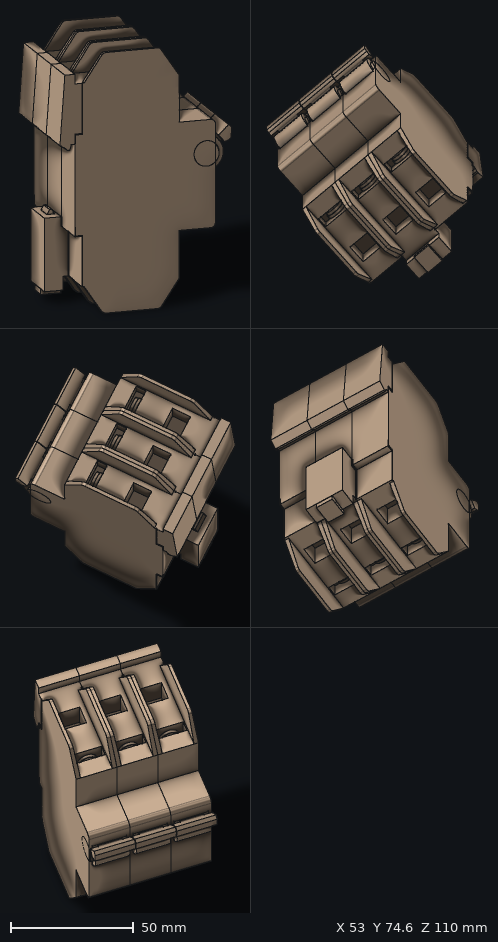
import cadquery as cq


TOTAL_WIDTH = 53.0
POLE_COUNT = 3
POLE_WIDTH = TOTAL_WIDTH / POLE_COUNT
CLIP_POLE = 1

SHOULDER_Y = 44.8
NOSE_Y = 60.3
HALF_HEIGHT = 42.9
NOSE_HALF_HEIGHT = 22.9
NOSE_ROUND = 2.2

NOTCH_Y = 3.0
NOTCH_HALF_HEIGHT = 21.7
RELIEF_DEPTH = 0.3
RELIEF_MARGIN_Y = 0.16
RELIEF_MARGIN_Z = 0.3
RELIEF_START_Z = 17.7

FIN_HALF_HEIGHT = 55.0
FIN_ROOT_REAR_Y = 3.8
FIN_RUN = 8.2
FIN_ROOT_THICKNESS = 2.0
FIN_TIP_THICKNESS = 1.5
FIN_ROUND = 2.2

WIRE_WIDTH = 9.2
WIRE_LENGTH = 8.1
WIRE_CENTER_Y = 16.0
WIRE_DEPTH = 11.0
SLOT_WIDTH = 12.8
SLOT_LENGTH = 4.4
SLOT_CENTER_Y = 35.2
SLOT_DEPTH = 6.6
SCREW_NECK_RADIUS = 3.8
SCREW_HEAD_RADIUS = 4.2
SCREW_SECTION_LENGTH = 1.3
SCREW_REAR_GAP = 0.4

HOOK_TOP_Z = 47.0
HOOK_TOP_Y = -4.4
HOOK_LIP_Y = -6.5
HOOK_LIP_Z = 17.4
HOOK_TIP_Z = 15.1
HOOK_TIP_REAR_Y = -3.1
HOOK_TIP_FRONT_Y = -2.3
HOOK_THROAT_Y = -1.5

CLIP_REAR_Y = -7.3
CLIP_TOP_Z = -17.7
CLIP_BOTTOM_Z = -48.7
CLIP_LOWER_FRONT_Y = 0.8
CATCH_WIDTH = 7.7
CATCH_TIP_Z = -15.7
CATCH_BASE_Y = (-1.2, -4.5)
CATCH_TIP_Y = (-2.3, -3.3)
TAB_FRONT_Y = 1.5
TAB_REAR_Y = -7.2
TAB_BOTTOM_Z = -51.3
TAB_GAP = 0.3
TAB_GAP_REAR_Y = -4.0

GRIP_SIDE_GAP = 0.1
HUB_SIDE_GAP = 0.3
PIVOT_Y = 56.5
PIVOT_Z = 8.6
DISC_RADIUS = 7.6
DISC_WIDTH = 14.8
HUB_RADIUS = 5.4
NECK_WIDTH = 10.5
GRIP_TOP = (66.0, 20.1)
GRIP_TIP = (67.3, 18.8)
GRIP_HEEL = (67.0, 14.4)
GRIP_FOOT = (65.8, 13.4)
GRIP_BASE_FRONT = (64.2, 12.9)
GRIP_BASE_REAR = (61.6, 16.0)
NECK_REAR_Z = 14.7


def prism(points, width):
    """Outline of (y, z) points, extruded along X and centred on x = 0."""
    return cq.Workplane("YZ").polyline(points).close().extrude(width / 2, both=True)


def block(x_range, y_range, z_range):
    """Box between the given limits."""
    size = [high - low for low, high in (x_range, y_range, z_range)]
    corner = (x_range[0], y_range[0], z_range[0])
    return cq.Workplane("XY").box(*size, centered=False).translate(corner)


def pole_x(index):
    """X position of the centre of a pole."""
    return (index - (POLE_COUNT - 1) / 2) * POLE_WIDTH


def with_lower_twin(shape):
    """The shape together with its mirror image below z = 0."""
    return shape.union(shape.mirror("XY"))


def housing_core():
    body = block(
        (-POLE_WIDTH / 2, POLE_WIDTH / 2), (0, SHOULDER_Y), (-HALF_HEIGHT, HALF_HEIGHT)
    )
    nose = block(
        (-POLE_WIDTH / 2, POLE_WIDTH / 2), (0, NOSE_Y), (-NOSE_HALF_HEIGHT, NOSE_HALF_HEIGHT)
    )
    nose = nose.faces(">Y").edges("|X").fillet(NOSE_ROUND)
    return body.union(nose)


def rear_notch():
    """Upper notch, cut through the full pole width."""
    return block(
        (-POLE_WIDTH / 2, POLE_WIDTH / 2), (0, NOTCH_Y), (NOTCH_HALF_HEIGHT, HALF_HEIGHT)
    )


def notch_relief():
    """Shallow steps in both side faces along the edges of the upper notch."""
    inner_y = NOTCH_Y + RELIEF_MARGIN_Y
    inner_z = NOTCH_HALF_HEIGHT - RELIEF_MARGIN_Z
    outline = [
        (0, RELIEF_START_Z),
        (RELIEF_MARGIN_Y, RELIEF_START_Z),
        (RELIEF_MARGIN_Y, inner_z),
        (inner_y, inner_z),
        (inner_y, HALF_HEIGHT),
        (0, HALF_HEIGHT),
    ]
    middle = prism(outline, POLE_WIDTH - 2 * RELIEF_DEPTH)
    return prism(outline, POLE_WIDTH).cut(middle)


def barrier_fins():
    """Upper pair of fins, flush with the pole sides and thinner towards the tip."""
    outline = [
        (SHOULDER_Y, HALF_HEIGHT),
        (SHOULDER_Y - FIN_RUN, FIN_HALF_HEIGHT),
        (FIN_ROOT_REAR_Y + FIN_RUN, FIN_HALF_HEIGHT),
        (FIN_ROOT_REAR_Y, HALF_HEIGHT),
    ]
    plate = prism(outline, POLE_WIDTH)
    plate = plate.faces(">Z").edges("|X").fillet(FIN_ROUND)
    root_x = POLE_WIDTH / 2 - FIN_ROOT_THICKNESS
    tip_x = POLE_WIDTH / 2 - FIN_TIP_THICKNESS
    gap = (
        cq.Workplane("XZ")
        .polyline([
            (-root_x, HALF_HEIGHT),
            (root_x, HALF_HEIGHT),
            (tip_x, FIN_HALF_HEIGHT),
            (-tip_x, FIN_HALF_HEIGHT),
        ])
        .close()
        .extrude(-SHOULDER_Y)
    )
    return plate.cut(gap)


def terminal_openings():
    """Upper wire entry and screw slot; the screw stays standing in the slot."""
    top = cq.Workplane("XY").workplane(offset=HALF_HEIGHT)
    wire_entry = top.center(0, WIRE_CENTER_Y).rect(WIRE_WIDTH, WIRE_LENGTH).extrude(-WIRE_DEPTH)
    slot = top.center(0, SLOT_CENTER_Y).rect(SLOT_WIDTH, SLOT_LENGTH).extrude(-SLOT_DEPTH)
    screw_rear_y = SLOT_CENTER_Y - SLOT_LENGTH / 2 + SCREW_REAR_GAP
    screw = (
        cq.Workplane("XZ", origin=(0, screw_rear_y, HALF_HEIGHT - SLOT_DEPTH))
        .circle(SCREW_HEAD_RADIUS)
        .extrude(-SCREW_SECTION_LENGTH)
        .faces(">Y")
        .workplane()
        .circle(SCREW_NECK_RADIUS)
        .extrude(SCREW_SECTION_LENGTH)
    )
    return wire_entry.union(slot.cut(screw))


def rail_hook():
    return prism(
        [
            (NOTCH_Y, NOTCH_HALF_HEIGHT),
            (NOTCH_Y, HALF_HEIGHT),
            (0, HALF_HEIGHT),
            (0, HOOK_TOP_Z),
            (HOOK_TOP_Y, HOOK_TOP_Z),
            (HOOK_LIP_Y, HOOK_LIP_Z),
            (HOOK_TIP_REAR_Y, HOOK_TIP_Z),
            (HOOK_TIP_FRONT_Y, HOOK_TIP_Z),
            (HOOK_THROAT_Y, HOOK_LIP_Z),
            (0, HOOK_LIP_Z),
            (0, NOTCH_HALF_HEIGHT),
        ],
        POLE_WIDTH,
    )


def rail_clip():
    case = prism(
        [
            (0, CLIP_TOP_Z),
            (0, -NOTCH_HALF_HEIGHT),
            (NOTCH_Y, -NOTCH_HALF_HEIGHT),
            (NOTCH_Y, -HALF_HEIGHT),
            (CLIP_LOWER_FRONT_Y, -HALF_HEIGHT),
            (CLIP_LOWER_FRONT_Y, CLIP_BOTTOM_Z),
            (CLIP_REAR_Y, CLIP_BOTTOM_Z),
            (CLIP_REAR_Y, CLIP_TOP_Z),
        ],
        POLE_WIDTH,
    )
    catch = prism(
        [
            (CATCH_BASE_Y[0], CLIP_TOP_Z),
            (CATCH_TIP_Y[0], CATCH_TIP_Z),
            (CATCH_TIP_Y[1], CATCH_TIP_Z),
            (CATCH_BASE_Y[1], CLIP_TOP_Z),
        ],
        CATCH_WIDTH,
    )
    pull_tab = prism(
        [
            (TAB_REAR_Y, CLIP_BOTTOM_Z),
            (TAB_GAP_REAR_Y, CLIP_BOTTOM_Z),
            (TAB_GAP_REAR_Y, CLIP_BOTTOM_Z - TAB_GAP),
            (TAB_FRONT_Y, CLIP_BOTTOM_Z - TAB_GAP),
            (TAB_FRONT_Y, TAB_BOTTOM_Z),
            (TAB_REAR_Y, TAB_BOTTOM_Z),
        ],
        CATCH_WIDTH,
    )
    return case.union(catch).union(pull_tab)


def make_toggle():
    """Grip bar on a narrow neck, turning on a disc and a wider hub."""
    grip_width = POLE_WIDTH - 2 * GRIP_SIDE_GAP
    hub_width = POLE_WIDTH - 2 * HUB_SIDE_GAP
    grip = prism(
        [GRIP_TOP, GRIP_TIP, GRIP_HEEL, GRIP_FOOT, GRIP_BASE_FRONT, GRIP_BASE_REAR], grip_width
    )
    neck = prism(
        [GRIP_BASE_FRONT, GRIP_BASE_REAR, (NOSE_Y, NECK_REAR_Z), (PIVOT_Y, PIVOT_Z)], NECK_WIDTH
    )
    pivot = cq.Workplane("YZ").center(PIVOT_Y, PIVOT_Z)
    disc = pivot.circle(DISC_RADIUS).extrude(DISC_WIDTH / 2, both=True)
    hub = pivot.circle(HUB_RADIUS).extrude(hub_width / 2, both=True)
    return disc.union(hub).union(neck).union(grip)


def make_housing(toggle, has_clip):
    """One pole; the toggle leaves its own seat in the nose."""
    housing = housing_core()
    housing = housing.cut(with_lower_twin(rear_notch()))
    housing = housing.cut(with_lower_twin(notch_relief()))
    housing = housing.union(with_lower_twin(barrier_fins()))
    housing = housing.cut(with_lower_twin(terminal_openings()))
    housing = housing.union(rail_hook())
    if has_clip:
        housing = housing.union(rail_clip())
    return housing.cut(toggle)


bodies = []
for pole in range(POLE_COUNT):
    position = (pole_x(pole), 0, 0)
    pole_toggle = make_toggle()
    pole_housing = make_housing(pole_toggle, pole == CLIP_POLE)
    bodies.append(pole_housing.translate(position).val())
    bodies.append(pole_toggle.translate(position).val())

result = cq.Compound.makeCompound(bodies)